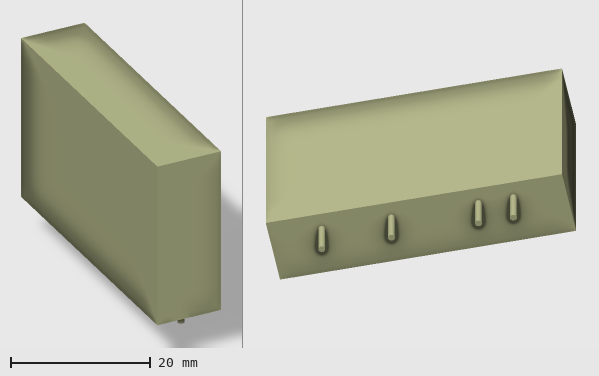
import cadquery as cq

housing_length = 43.2
housing_width = 10.2
housing_height = 25.8

pin_diameter = 1.0
pin_length = 5.05
first_pin_x = -14.0
pin_gaps = [5.1, 12.7, 10.15]
pin_row_y = housing_width / 4


def make_housing():
    return cq.Workplane("XY").box(
        housing_length, housing_width, housing_height, centered=(True, True, False)
    )


def make_pin(x):
    """Round pin hanging down from the flat underside of the housing."""
    return cq.Workplane("XY").center(x, pin_row_y).circle(pin_diameter / 2).extrude(-pin_length)


housing = make_housing()

pin_x = first_pin_x
pins = [make_pin(pin_x)]
for gap in pin_gaps:
    pin_x += gap
    pins.append(make_pin(pin_x))

result = cq.Compound.makeCompound([housing.val(), *[pin.val() for pin in pins]])